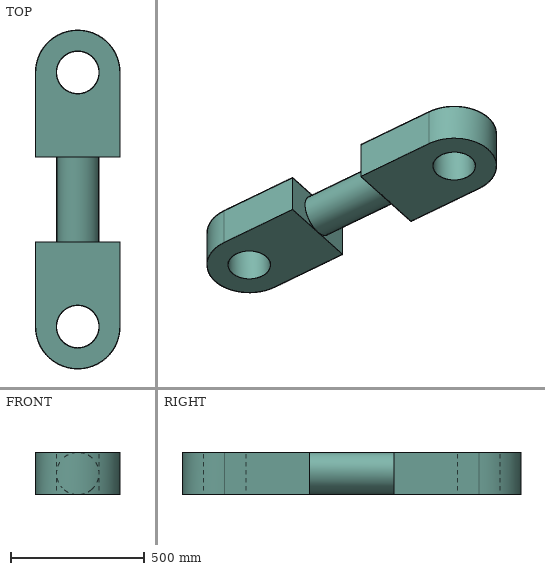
import cadquery as cq

thickness = 158.75
eye_width = 317.5
straight_length = 317.5
shaft_length = 317.5
hole_diameter = 158.75
shaft_diameter = thickness

eye_radius = eye_width / 2
inner_face_y = shaft_length / 2
hole_center_y = inner_face_y + straight_length


def make_eye(side):
    """Round-ended block with a through hole; side is +1 or -1 along Y."""
    face_y = side * inner_face_y
    center_y = side * hole_center_y
    tip_y = side * (hole_center_y + eye_radius)
    block = (
        cq.Workplane("XY")
        .moveTo(-eye_radius, face_y)
        .lineTo(eye_radius, face_y)
        .lineTo(eye_radius, center_y)
        .threePointArc((0, tip_y), (-eye_radius, center_y))
        .close()
        .extrude(thickness / 2, both=True)
    )
    hole = (
        cq.Workplane("XY")
        .center(0, center_y)
        .circle(hole_diameter / 2)
        .extrude(thickness / 2, both=True)
    )
    return block.cut(hole)


def make_shaft():
    """Round bar along Y joining the inner faces of the two blocks."""
    return cq.Workplane("XZ").circle(shaft_diameter / 2).extrude(shaft_length / 2, both=True)


result = make_shaft()
for side in (-1, 1):
    result = result.union(make_eye(side))